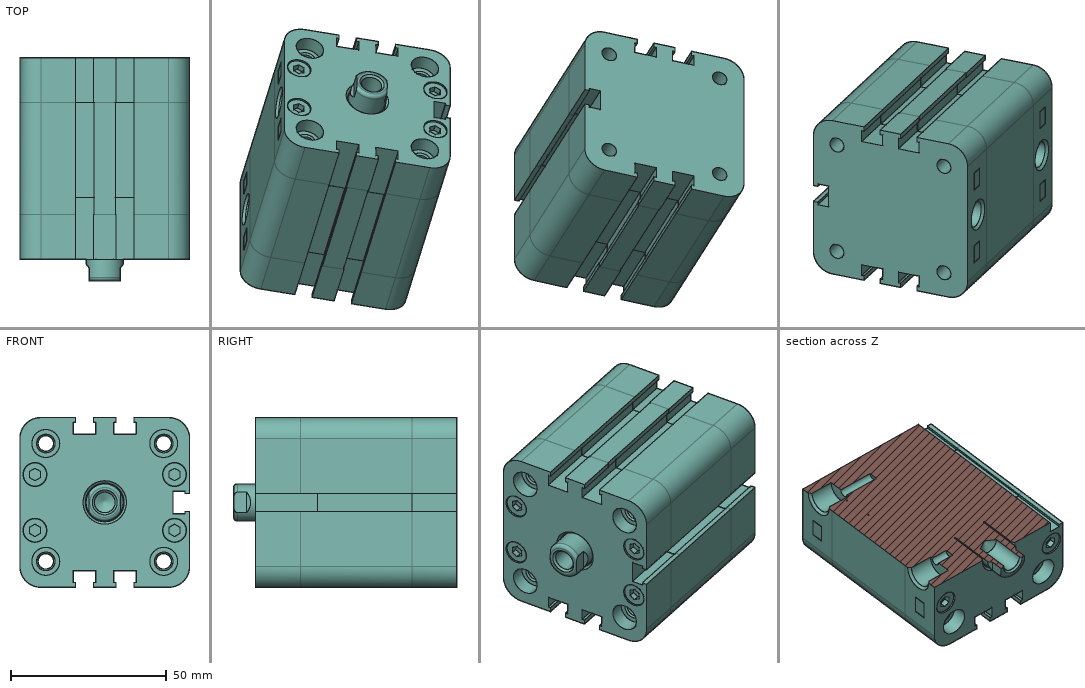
import cadquery as cq
import math


body_width = 54.8
corner_radius = 6.8
cap_length = 14.5
barrel_length = 36.0
body_length = barrel_length + 2 * cap_length
half_width = body_width / 2

slot_offset = 6.5
slot_neck_width = 5.7
slot_inner_width = 7.0
slot_lip = 1.6
slot_depth = 5.35
slot_entry_length = 20.0
slot_end_clearance = 0.2
slot_end_extra_depth = 0.03
barrel_rib_relief = 0.2

mount_spacing = 38.0
mount_hole_diameter = 4.92
mount_bore_diameter = 9.0
mount_bore_depth = 5.0
mount_countersink_diameter = 6.0

screw_spacing_x = 45.0
screw_spacing_z = 18.0
screw_bore_diameter = 7.7
screw_head_diameter = 7.5
screw_bore_depth = 4.5
screw_recess = 0.5
socket_corner_diameter = 4.0
socket_depth = 2.0
socket_turn = 30.0

port_distance = 8.0
port_diameter = 8.57
port_mouth_diameter = 10.3
port_depth = 9.0
passage_diameter = 3.0
passage_shift = 2.0
front_passage_depth = 6.0

label_length = 4.2
label_height = 6.0
label_offset = 13.0
label_depth = 0.1

rod_diameter = 12.0
rod_protrusion = 7.0
rod_edge_radius = 1.2
rod_bore_diameter = 12.5
rod_bore_mouth_diameter = 14.0
rod_bore_depth = cap_length
rod_flat_width = 10.0
rod_flat_length = 4.2
rod_flat_runout = 1.3
thread_diameter = 6.65
thread_mouth_diameter = 8.0
thread_depth = 12.0
drill_point_angle = 118.0


def front_plane(y):
    """Plane across the rod axis at y, with local x = X, local y = Z, normal toward -Y."""
    return cq.Workplane("XZ", origin=(0, y, 0))


def revolve_about_rod(profile):
    """Turn a profile of (radius, y) points about the Y axis."""
    return cq.Workplane("XY").polyline(profile).close().revolve(360, (0, 0, 0), (0, 1, 0))


def body_section(start, length):
    """Rounded square block from y = start, running toward +Y."""
    block = front_plane(start).rect(body_width, body_width).extrude(-length)
    return block.edges("|Y").fillet(corner_radius)


def slot_cutter(start, end, clearance=0.0, extra_depth=0.0):
    """T-slot in the top face, centred on x = 0."""
    neck = slot_neck_width / 2
    inner = slot_inner_width / 2 + clearance
    shoulder = half_width - slot_lip
    floor = half_width - slot_depth - extra_depth
    outline = [
        (-neck, half_width),
        (-neck, shoulder),
        (-inner, shoulder),
        (-inner, floor),
        (inner, floor),
        (inner, shoulder),
        (neck, shoulder),
        (neck, half_width),
    ]
    return front_plane(start).polyline(outline).close().extrude(start - end)


def cut_slots(body):
    """Cut the slots full length, a little wider and deeper at the front entry and in the rear cap."""
    rear_start = body_length - cap_length
    entry = slot_cutter(0, slot_entry_length, slot_end_clearance, slot_end_extra_depth)
    run = slot_cutter(slot_entry_length, rear_start)
    rear = slot_cutter(rear_start, body_length, slot_end_clearance, slot_end_extra_depth)
    for cutter in (entry, run, rear):
        for side in (-1, 1):
            top_slot = cutter.translate((side * slot_offset, 0, 0))
            bottom_slot = top_slot.rotate((0, 0, 0), (0, 1, 0), 180)
            body = body.cut(top_slot, clean=False).cut(bottom_slot, clean=False)
        side_slot = cutter.rotate((0, 0, 0), (0, 1, 0), 90)
        body = body.cut(side_slot, clean=False)
    return body


def relieve_barrel_ribs(barrel):
    """Narrow the top and bottom ribs between the paired slots, on the barrel only."""
    rib_edge = slot_offset - slot_neck_width / 2
    centre_x = rib_edge - barrel_rib_relief / 2
    centre_z = half_width - slot_lip / 2
    places = [(x, z) for x in (-centre_x, centre_x) for z in (-centre_z, centre_z)]
    relief = front_plane(cap_length).pushPoints(places).rect(barrel_rib_relief, slot_lip)
    return barrel.cut(relief.extrude(-barrel_length))


def cut_mounting_holes(body):
    bore = mount_bore_diameter / 2
    countersink = mount_countersink_diameter / 2
    hole = mount_hole_diameter / 2
    profile = [
        (0, 0),
        (bore, 0),
        (bore, mount_bore_depth),
        (countersink, mount_bore_depth),
        (hole, mount_bore_depth + countersink - hole),
        (hole, body_length),
        (0, body_length),
    ]
    cutter = revolve_about_rod(profile)
    for x in (-mount_spacing / 2, mount_spacing / 2):
        for z in (-mount_spacing / 2, mount_spacing / 2):
            body = body.cut(cutter.translate((x, 0, z)), clean=False)
    return body


def add_cap_screws(body):
    """Sink four socket heads below the front face, each with a thin gap around it."""
    bore = front_plane(0).circle(screw_bore_diameter / 2).extrude(-screw_bore_depth)
    head_length = screw_bore_depth - screw_recess
    head = front_plane(screw_recess).circle(screw_head_diameter / 2).extrude(-head_length)
    socket = front_plane(screw_recess).polygon(6, socket_corner_diameter).extrude(-socket_depth)
    socket = socket.rotate((0, 0, 0), (0, 1, 0), socket_turn)
    cutter = bore.cut(head.cut(socket))
    for x in (-screw_spacing_x / 2, screw_spacing_x / 2):
        for z in (-screw_spacing_z / 2, screw_spacing_z / 2):
            body = body.cut(cutter.translate((x, 0, z)), clean=False)
    return body


def side_plane(y, depth=0.0):
    """Plane at a depth below the -X face, centred on y, with its normal toward -X."""
    return cq.Workplane("YZ", origin=(depth - half_width, y, 0)).transformed(rotate=(0, 180, 0))


def cut_port(body, y):
    mouth_depth = (port_mouth_diameter - port_diameter) / 2
    bore = side_plane(y).circle(port_diameter / 2).extrude(-port_depth)
    mouth = side_plane(y).circle(port_mouth_diameter / 2).extrude(-mouth_depth, taper=45)
    return body.cut(bore, clean=False).cut(mouth, clean=False)


def cut_ports(body):
    front_y = port_distance
    rear_y = body_length - port_distance
    body = cut_port(cut_port(body, front_y), rear_y)

    front_start = side_plane(front_y + passage_shift, port_depth)
    front_passage = front_start.circle(passage_diameter / 2).extrude(-front_passage_depth)

    rear_start = side_plane(rear_y - passage_shift, port_depth)
    rear_passage = rear_start.circle(passage_diameter / 2).extrude(port_depth - half_width)
    core = front_plane(0).circle(rod_diameter / 2).extrude(-body_length)
    rear_passage = rear_passage.cut(core)
    return body.cut(front_passage, clean=False).cut(rear_passage, clean=False)


def cut_label_panels(body):
    for y in (cap_length / 2, body_length - cap_length / 2):
        places = [(0, -label_offset), (0, label_offset)]
        panels = side_plane(y).pushPoints(places).rect(label_length, label_height)
        body = body.cut(panels.extrude(-label_depth), clean=False)
    return body


def cut_rod_bore(body):
    bore = rod_bore_diameter / 2
    mouth = rod_bore_mouth_diameter / 2
    profile = [
        (0, 0),
        (mouth, 0),
        (bore, mouth - bore),
        (bore, rod_bore_depth),
        (0, rod_bore_depth),
    ]
    return body.cut(revolve_about_rod(profile), clean=False)


def rod_flat_cutter():
    """Material beyond one wrench flat on +X, ending in a sloped run-out."""
    flat = rod_flat_width / 2
    surface = rod_diameter / 2
    tip = -rod_protrusion
    flat_end = tip + rod_flat_length
    outline = [
        (flat, tip),
        (surface, tip),
        (surface, flat_end + rod_flat_runout),
        (flat, flat_end),
    ]
    return cq.Workplane("XY").polyline(outline).close().extrude(surface, both=True)


def make_rod():
    tip = -rod_protrusion
    rod = front_plane(tip).circle(rod_diameter / 2).extrude(tip - rod_bore_depth)
    rod = rod.faces("<Y").edges().fillet(rod_edge_radius)

    thread = thread_diameter / 2
    mouth = thread_mouth_diameter / 2
    point_length = thread / math.tan(math.radians(drill_point_angle / 2))
    profile = [
        (0, tip),
        (mouth, tip),
        (thread, tip + mouth - thread),
        (thread, tip + thread_depth),
        (0, tip + thread_depth + point_length),
    ]
    rod = rod.cut(revolve_about_rod(profile))

    flat = rod_flat_cutter()
    return rod.cut(flat).cut(flat.mirror("YZ"))


front_cap = body_section(0, cap_length)
barrel = relieve_barrel_ribs(body_section(cap_length, barrel_length))
rear_cap = body_section(cap_length + barrel_length, cap_length)

body = front_cap.union(barrel, clean=False).union(rear_cap, clean=False)
body = cut_slots(body)
body = cut_mounting_holes(body)
body = add_cap_screws(body)
body = cut_ports(body)
body = cut_label_panels(body)
body = cut_rod_bore(body)

result = body.union(make_rod(), clean=False)